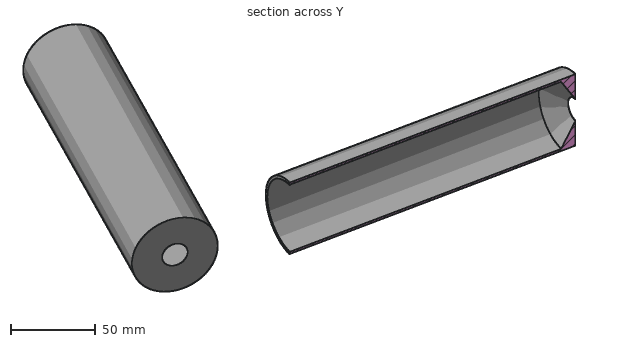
import cadquery as cq

length = 200.0
outer_diameter = 54.0
bore_diameter = 50.0
outlet_diameter = 16.0
cone_length = 10.0

outer_radius = outer_diameter / 2
bore_radius = bore_diameter / 2
outlet_radius = outlet_diameter / 2
open_end = -length / 2
outlet_end = length / 2
cone_start = outlet_end - cone_length

wall_section = (
    cq.Workplane("XY")
    .moveTo(open_end, bore_radius)
    .lineTo(open_end, outer_radius)
    .lineTo(outlet_end, outer_radius)
    .lineTo(outlet_end, outlet_radius)
    .lineTo(cone_start, bore_radius)
    .close()
)

result = wall_section.revolve(360, (0, 0, 0), (1, 0, 0))